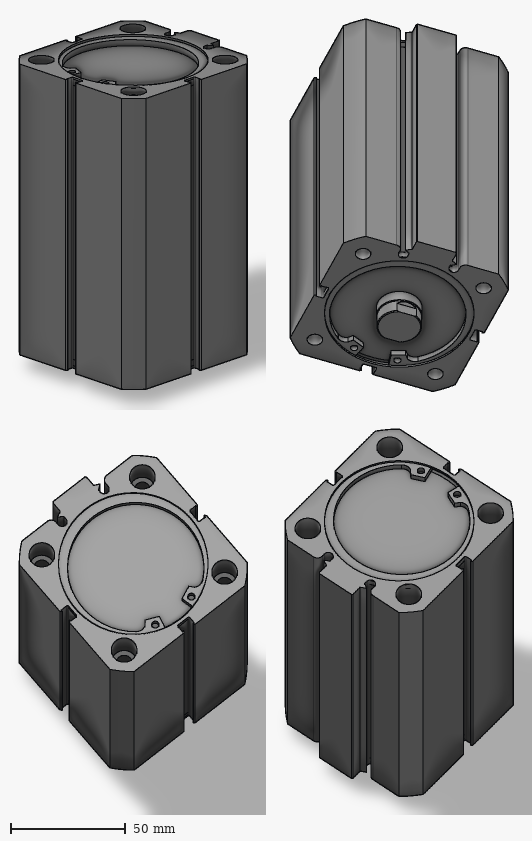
import cadquery as cq
import math


BODY_WIDTH = 77.5
BODY_HALF = BODY_WIDTH / 2
BODY_HEIGHT = 135.0
CORNER_RADIUS = 49.8
BORE_RADIUS = 32.6

OVERALL_DEPTH = 83.0
RAIL_TOP = OVERALL_DEPTH - BODY_HALF
RAIL_HALF = 9.5
RAIL_CHAMFER = 0.5
HOOK_TIP = (12.0, 37.5)
CHANNEL_RADIUS = 2.1
CHANNEL_X = 11.9
CHANNEL_Y = 34.5
HOOK_ROOT_Y = 35.9
CHANNEL_LIP_RADIUS = 2.7

SLOT_DEPTH = 4.5
SLOT_HALF = 3.3
SLOT_MOUTH_HALF = 2.6
SLOT_LIP = 0.9
SLOT_MOUTH_CHAMFER = 0.6
SLOT_FLOOR_FILLET = 0.6
SLOT_FLOOR = BODY_HALF - SLOT_DEPTH

HOLE_SPACING = 56.6
HOLE_DIAMETER = 6.7
COUNTERBORE_DIAMETER = 11.2
COUNTERBORE_DEPTH = 17.2

RING_RECESS = 1.0
RING_THICKNESS = 2.9
GROOVE_WEB = 0.21
RING_RADIUS = SLOT_FLOOR - GROOVE_WEB
RING_INNER_RADIUS = 29.7
RING_INNER_OFFSET = 1.7
LUG_HOLE_X = 10.2
LUG_HOLE_Y = -27.6
LUG_HOLE_DIAMETER = 3.1
LUG_GAP_CORNER = (6.5, -25.7)
LUG_PEAK = (12.3, -23.2)
LUG_FOOT = (14.0, -25.2)
LUG_ARC_MID = (16.0, -25.7)
LUG_ARC_END = (18.7, -24.7)
GAP_SLOPE = 0.23

COVER_INSET = RING_RECESS + RING_THICKNESS
HEAD_COVER_THICKNESS = 11.5
HEAD_COVER_BOTTOM = BODY_HEIGHT - COVER_INSET - HEAD_COVER_THICKNESS
ROD_COVER_THICKNESS = 28.6
PISTON_THICKNESS = 20.0
ROD_RADIUS = 10.0
ROD_SHOULDER = -1.3
ROD_SHOULDER_DROP = 0.5
ROD_PROJECTION = 8.0
NOSE_RADIUS = 9.7
NOSE_CHAMFER = 0.5
FLAT_HALF = 8.6
FLAT_SHOULDER = -1.7


def disc(radius, bottom, thickness):
    return cq.Workplane("XY").workplane(offset=bottom).circle(radius).extrude(thickness)


def rail_channel(side):
    """Channel beside the rail on one side (side is -1 or +1)."""
    inner = CHANNEL_X - CHANNEL_RADIUS
    outer = CHANNEL_X + CHANNEL_RADIUS
    lip_y = BODY_HALF - CHANNEL_LIP_RADIUS
    lip_x = outer + CHANNEL_LIP_RADIUS
    lip_mid = CHANNEL_LIP_RADIUS * math.sqrt(0.5)
    return (
        cq.Workplane("XY")
        .moveTo(side * RAIL_HALF, BODY_HALF)
        .lineTo(side * HOOK_TIP[0], HOOK_TIP[1])
        .lineTo(side * inner, HOOK_ROOT_Y)
        .lineTo(side * inner, CHANNEL_Y)
        .threePointArc((side * CHANNEL_X, CHANNEL_Y - CHANNEL_RADIUS), (side * outer, CHANNEL_Y))
        .lineTo(side * outer, lip_y)
        .threePointArc((side * (lip_x - lip_mid), lip_y + lip_mid), (side * lip_x, BODY_HALF))
        .close()
        .extrude(BODY_HEIGHT)
    )


def sensor_slot(angle):
    """T-shaped slot in the -Y side, turned about Z by the given angle."""
    inner_depth = SLOT_DEPTH - SLOT_LIP
    pocket = (
        cq.Workplane("XY")
        .center(0, -SLOT_FLOOR - inner_depth / 2)
        .rect(2 * SLOT_HALF, inner_depth)
        .extrude(BODY_HEIGHT)
        .edges("|Z and >Y")
        .fillet(SLOT_FLOOR_FILLET)
    )
    chamfer_half = SLOT_MOUTH_HALF + SLOT_MOUTH_CHAMFER
    chamfer_y = -BODY_HALF + SLOT_MOUTH_CHAMFER
    mouth = (
        cq.Workplane("XY")
        .moveTo(-chamfer_half, -BODY_HALF)
        .lineTo(-SLOT_MOUTH_HALF, chamfer_y)
        .lineTo(-SLOT_MOUTH_HALF, -SLOT_FLOOR - inner_depth / 2)
        .lineTo(SLOT_MOUTH_HALF, -SLOT_FLOOR - inner_depth / 2)
        .lineTo(SLOT_MOUTH_HALF, chamfer_y)
        .lineTo(chamfer_half, -BODY_HALF)
        .close()
        .extrude(BODY_HEIGHT)
    )
    return pocket.union(mouth).rotate((0, 0, 0), (0, 0, 1), angle)


def make_barrel():
    barrel = (
        cq.Workplane("XY")
        .rect(BODY_WIDTH, BODY_WIDTH)
        .extrude(BODY_HEIGHT)
        .intersect(cq.Workplane("XY").circle(CORNER_RADIUS).extrude(BODY_HEIGHT))
    )
    rail = (
        cq.Workplane("XY")
        .center(0, RAIL_TOP / 2)
        .rect(2 * RAIL_HALF, RAIL_TOP)
        .extrude(BODY_HEIGHT)
        .edges("|Z and >Y")
        .chamfer(RAIL_CHAMFER)
    )
    barrel = barrel.union(rail)
    for side in (-1, 1):
        barrel = barrel.cut(rail_channel(side))
    for angle in (-90, 0, 90):
        barrel = barrel.cut(sensor_slot(angle))
    barrel = (
        barrel.faces(">Z")
        .workplane(origin=(0, 0, BODY_HEIGHT))
        .rect(HOLE_SPACING, HOLE_SPACING, forConstruction=True)
        .vertices()
        .cboreHole(HOLE_DIAMETER, COUNTERBORE_DIAMETER, COUNTERBORE_DEPTH)
    )
    barrel = barrel.cut(cq.Workplane("XY").circle(BORE_RADIUS).extrude(BODY_HEIGHT))
    for groove_bottom in (RING_RECESS, BODY_HEIGHT - COVER_INSET):
        barrel = barrel.cut(disc(RING_RADIUS, groove_bottom, RING_THICKNESS))
    return barrel


def ring_lug():
    """Lug with a pliers hole at the +X end of the ring, from Z = 0."""
    gap_foot_x = LUG_GAP_CORNER[0] + GAP_SLOPE * (RING_RADIUS + LUG_GAP_CORNER[1])
    lug = (
        cq.Workplane("XY")
        .moveTo(gap_foot_x, -RING_RADIUS)
        .lineTo(*LUG_GAP_CORNER)
        .lineTo(*LUG_PEAK)
        .lineTo(*LUG_FOOT)
        .threePointArc(LUG_ARC_MID, LUG_ARC_END)
        .lineTo(LUG_ARC_END[0], -RING_RADIUS)
        .close()
        .extrude(RING_THICKNESS)
    )
    hole = (
        cq.Workplane("XY")
        .center(LUG_HOLE_X, LUG_HOLE_Y)
        .circle(LUG_HOLE_DIAMETER / 2)
        .extrude(RING_THICKNESS)
    )
    return lug.intersect(disc(RING_RADIUS, 0, RING_THICKNESS)).cut(hole)


def make_retaining_ring(bottom):
    opening = (
        cq.Workplane("XY")
        .center(0, -RING_INNER_OFFSET)
        .circle(RING_INNER_RADIUS)
        .extrude(RING_THICKNESS)
    )
    rough_gap = (
        cq.Workplane("XY")
        .center(0, -RING_RADIUS)
        .rect(2 * LUG_HOLE_X, RING_RADIUS)
        .extrude(RING_THICKNESS)
    )
    lug = ring_lug()
    ring = disc(RING_RADIUS, 0, RING_THICKNESS).cut(opening).cut(rough_gap)
    ring = ring.union(lug).union(lug.mirror("YZ"))
    return ring.translate((0, 0, bottom))


def make_head_cover():
    return disc(BORE_RADIUS, HEAD_COVER_BOTTOM, HEAD_COVER_THICKNESS)


def make_rod_cover():
    cover = disc(BORE_RADIUS, COVER_INSET, ROD_COVER_THICKNESS)
    return cover.cut(disc(ROD_RADIUS, COVER_INSET, ROD_COVER_THICKNESS))


def flat_cutter():
    """Material removed for the -Y wrench flat, with a 45 degree run-out."""
    run_out = ROD_RADIUS - FLAT_HALF
    return (
        cq.Workplane("YZ")
        .moveTo(-FLAT_HALF, -ROD_PROJECTION)
        .lineTo(-FLAT_HALF, FLAT_SHOULDER - run_out)
        .lineTo(-ROD_RADIUS, FLAT_SHOULDER)
        .lineTo(-ROD_RADIUS, -ROD_PROJECTION)
        .close()
        .extrude(ROD_RADIUS, both=True)
    )


def make_piston_rod():
    """Rod turned from one profile, with the piston against the head cover."""
    piston_bottom = HEAD_COVER_BOTTOM - PISTON_THICKNESS
    rod = (
        cq.Workplane("XZ")
        .moveTo(0, -ROD_PROJECTION)
        .lineTo(NOSE_RADIUS - NOSE_CHAMFER, -ROD_PROJECTION)
        .lineTo(NOSE_RADIUS, -ROD_PROJECTION + NOSE_CHAMFER)
        .lineTo(NOSE_RADIUS, ROD_SHOULDER - ROD_SHOULDER_DROP)
        .lineTo(ROD_RADIUS, ROD_SHOULDER)
        .lineTo(ROD_RADIUS, piston_bottom)
        .lineTo(BORE_RADIUS, piston_bottom)
        .lineTo(BORE_RADIUS, HEAD_COVER_BOTTOM)
        .lineTo(0, HEAD_COVER_BOTTOM)
        .close()
        .revolve(360, (0, 0, 0), (0, 1, 0))
    )
    flat = flat_cutter()
    return rod.cut(flat).cut(flat.mirror("XZ"))


barrel = make_barrel()
head_cover = make_head_cover()
rod_cover = make_rod_cover()
piston_rod = make_piston_rod()
retaining_rings = [
    make_retaining_ring(bottom).val()
    for bottom in (RING_RECESS, BODY_HEIGHT - COVER_INSET)
]

result = cq.Compound.makeCompound(
    [barrel.val(), head_cover.val(), rod_cover.val(), piston_rod.val(), *retaining_rings]
)